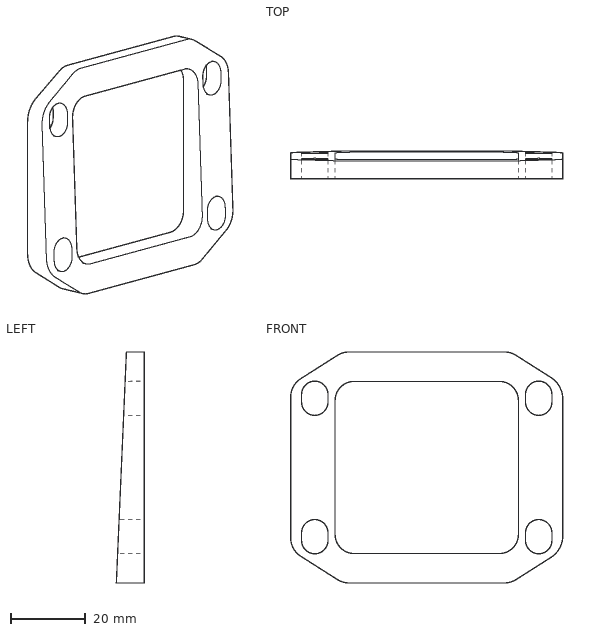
import cadquery as cq

width = 73.0
height = 62.0
thickness_bottom = 7.5
thickness_top = 4.8

corner_run = 14.0
corner_rise = 8.9
end_radius = 6.0
left_radius = 6.0
right_radius = 7.0

window_width = 49.05
window_height = 46.05
window_radius = 5.05

slot_width = 7.0
slot_length = 9.1
slot_spacing_x = 60.0
slot_spacing_z = 37.1


def make_wedge():
    """Full-width block whose back face slopes so that it is thinner at the top."""
    profile = [
        (0, -height / 2),
        (thickness_bottom, -height / 2),
        (thickness_top, height / 2),
        (0, height / 2),
    ]
    return cq.Workplane("YZ").polyline(profile).close().extrude(width / 2, both=True)


def make_outline():
    """Prism with sloped, rounded corners, as deep as the thickest edge."""
    half_width = width / 2
    half_height = height / 2
    flat_x = half_width - corner_run
    flat_z = half_height - corner_rise
    points = [
        (-flat_x, -half_height),
        (flat_x, -half_height),
        (half_width, -flat_z),
        (half_width, flat_z),
        (flat_x, half_height),
        (-flat_x, half_height),
        (-half_width, flat_z),
        (-half_width, -flat_z),
    ]
    prism = cq.Workplane("XZ").polyline(points).close().extrude(-thickness_bottom)
    for corners, radius in [
        ("<X", left_radius),
        (">X", right_radius),
        ("<Z", end_radius),
        (">Z", end_radius),
    ]:
        prism = prism.faces(corners).edges("|Y").fillet(radius)
    return prism


def make_window():
    """Rounded rectangular opening through the plate."""
    block = cq.Workplane("XZ").rect(window_width, window_height).extrude(-thickness_bottom)
    return block.edges("|Y").fillet(window_radius)


def make_slots():
    """Four vertical slots, one near each corner."""
    return (
        cq.Workplane("XZ")
        .rect(slot_spacing_x, slot_spacing_z, forConstruction=True)
        .vertices()
        .slot2D(slot_length, slot_width, 90)
        .extrude(-thickness_bottom)
    )


result = make_wedge().intersect(make_outline()).cut(make_window()).cut(make_slots())